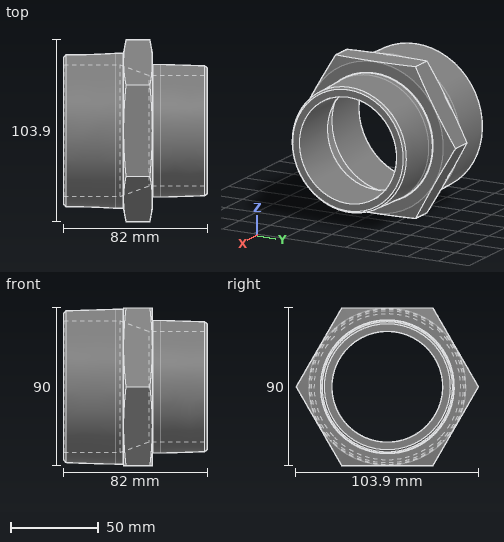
import cadquery as cq
import math

total_length = 82.0
hex_start = 34.3
hex_end = 50.7
hex_middle = (hex_start + hex_end) / 2
hex_width = hex_end - hex_start
across_flats = 90.0
across_corners = across_flats / math.cos(math.pi / 6)
hex_corner_setback = 1.4
hex_face_diameter = 89.55

taper_on_diameter = 1 / 16
root_bevel = 0.3
tip_chamfer_length = 1.5

large_neck_diameter = 88.46
large_taper_length = 29.8
large_tip_chamfer_depth = 1.65

small_neck_diameter = 75.76
small_taper_length = 26.7
small_tip_chamfer_depth = 1.2

large_bore_diameter = 75.0
small_bore_diameter = 63.0
bore_cone_start = 32.4
bore_cone_end = 48.7
mouth_bevel = 0.3


def revolve_about_x(points):
    """Revolve a closed (x, radius) outline about the X axis."""
    return cq.Workplane("XZ").polyline(points).close().revolve(360, (0, 0, 0), (1, 0, 0))


def make_threaded_end(hex_face, tip, neck_diameter, taper_length, tip_chamfer_depth):
    """Threaded end from the middle of the hexagon out to its tip, with a bevelled root."""
    outward = math.copysign(1, tip - hex_face)
    neck_start = hex_face + outward * root_bevel
    taper_start = tip - outward * taper_length
    chamfer_start = tip - outward * tip_chamfer_length

    neck_radius = neck_diameter / 2
    root_radius = neck_radius + root_bevel
    radius_loss = (taper_length - tip_chamfer_length) * taper_on_diameter / 2
    taper_end_radius = neck_radius - radius_loss

    return revolve_about_x([
        (hex_middle, 0),
        (hex_middle, root_radius),
        (hex_face, root_radius),
        (neck_start, neck_radius),
        (taper_start, neck_radius),
        (chamfer_start, taper_end_radius),
        (tip, taper_end_radius - tip_chamfer_depth),
        (tip, 0),
    ])


def make_hexagon():
    """Hexagonal prism with flats at +Z and -Z and conically turned corners."""
    prism = (
        cq.Workplane("YZ")
        .workplane(offset=hex_start)
        .polygon(6, across_corners)
        .extrude(hex_width)
    )
    face_radius = hex_face_diameter / 2
    corner_radius = across_corners / 2
    turned_envelope = revolve_about_x([
        (hex_start, 0),
        (hex_start, face_radius),
        (hex_start + hex_corner_setback, corner_radius),
        (hex_end - hex_corner_setback, corner_radius),
        (hex_end, face_radius),
        (hex_end, 0),
    ])
    return prism.intersect(turned_envelope)


def make_bore():
    """Wide bore with a bevelled mouth, narrowing through a cone to the small bore."""
    large_radius = large_bore_diameter / 2
    small_radius = small_bore_diameter / 2
    return revolve_about_x([
        (0, 0),
        (0, large_radius + mouth_bevel),
        (mouth_bevel, large_radius),
        (bore_cone_start, large_radius),
        (bore_cone_end, small_radius),
        (total_length, small_radius),
        (total_length, 0),
    ])


hexagon = make_hexagon()
large_end = make_threaded_end(
    hex_start, 0, large_neck_diameter, large_taper_length, large_tip_chamfer_depth
)
small_end = make_threaded_end(
    hex_end, total_length, small_neck_diameter, small_taper_length, small_tip_chamfer_depth
)
result = hexagon.union(large_end).union(small_end).cut(make_bore())